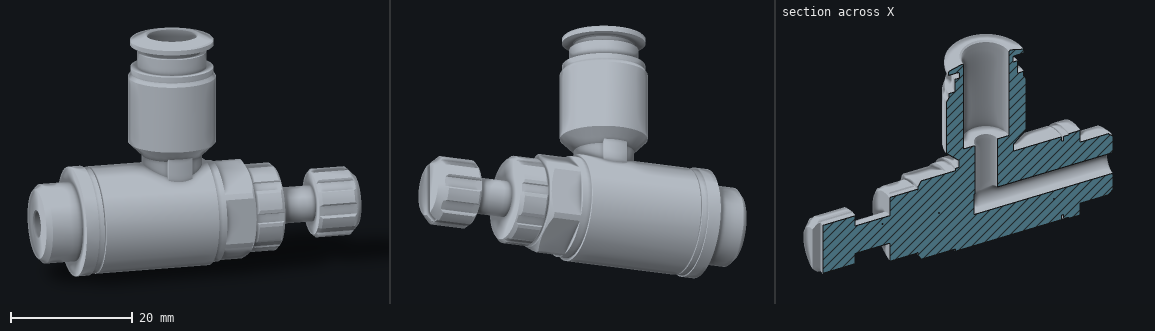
import cadquery as cq
import math


LENGTH = 54.4
THREAD_DIA = 13.15
THREAD_CHAMFER = 0.85
FLANGE_DIA = 18.15
FLANGE_START = 6.0
RIM_DIA = 17.7
RIM_START = 8.1
GROOVE_DIA = 15.9
GROOVE_START = 9.15
BODY_DIA = 17.8
BODY_START = 9.4
COLLAR_DIA = 16.8
COLLAR_START = 28.7

HEX_ACROSS_FLATS = 15.0
HEX_CORNER_DIA = COLLAR_DIA
HEX_START = 30.25
HEX_END = 35.6
HEX_FACE_DIA = 14.7
HEX_CHAMFER_ANGLE = 30.0

NUT_DIA = 14.5
NUT_CHAMFER = 0.6
NUT_END = 40.7
NUT_FLOOR_DIA = 13.7
NUT_GROOVE_FLOOR_WIDTH = 1.4
NUT_GROOVE_MOUTH_WIDTH = 2.9

STEM_DIA = 6.0

KNOB_DIA = 11.35
KNOB_START = 46.95
KNOB_REAR_CHAMFER = 0.5
KNOB_FRONT_CHAMFER = 1.4
KNOB_FLOOR_DIA = 10.35
KNOB_GROOVE_FLOOR_WIDTH = 1.65
KNOB_GROOVE_MOUTH_WIDTH = 2.4

GRIP_GROOVES = 8
GROOVE_WALL_RISE = 0.2
GROOVE_WALL_SPREAD = 0.15
CUT_MARGIN = 0.55
SLOT_WIDTH = 1.4
SLOT_DEPTH = 1.45

PORT_Y = 23.1
PORT_NECK_DIA = 10.0
PORT_CONE_BOTTOM = 10.3
PORT_BODY_DIA = 14.5
PORT_BODY_BOTTOM = 12.5
PORT_BODY_TOP = 23.6
PORT_SHOULDER_DIA = 13.7
PORT_SHOULDER_BOTTOM = 24.25
PORT_SHOULDER_TOP = 25.25
SLEEVE_DIA = 11.4
SLEEVE_TOP = 27.9
SLEEVE_NECK_DIA = 9.8
SLEEVE_FLARE = 0.2
RELEASE_RING_DIA = 13.8
RELEASE_RING_BOTTOM = 29.05
RELEASE_RING_EDGE = 0.2
RELEASE_RING_SHOULDER = 30.05
PORT_TOP = 30.7
LUG_DIA = 11.1
LUG_WIDTH = 4.15

SOCKET_DIA = 8.2
SOCKET_MOUTH_CHAMFER = 0.25
SOCKET_FLOOR = PORT_BODY_BOTTOM
PORT_HOLE_DIA = 4.0
BORE_DIA = 4.3
BORE_MOUTH_CHAMFER = 0.2
BORE_DEPTH = PORT_Y + BORE_DIA / 2


def rod(diameter, start, end):
    """Cylinder along Y between two stations."""
    plane = cq.Workplane("XZ", origin=(0, start, 0))
    return plane.circle(diameter / 2).extrude(start - end)


def upright(diameter, bottom, top):
    """Cylinder along Z on the tube port axis."""
    plane = cq.Workplane("XY", origin=(0, PORT_Y, bottom))
    return plane.circle(diameter / 2).extrude(top - bottom)


def make_body():
    """Turned threaded end, flange and body, up to the hexagon."""
    thread_radius = THREAD_DIA / 2
    outline = (
        cq.Workplane("XY")
        .moveTo(0, 0)
        .lineTo(thread_radius - THREAD_CHAMFER, 0)
        .lineTo(thread_radius, THREAD_CHAMFER)
        .lineTo(thread_radius, FLANGE_START)
        .lineTo(FLANGE_DIA / 2, FLANGE_START)
        .lineTo(FLANGE_DIA / 2, RIM_START)
        .lineTo(RIM_DIA / 2, RIM_START)
        .lineTo(RIM_DIA / 2, GROOVE_START)
        .lineTo(GROOVE_DIA / 2, GROOVE_START)
        .lineTo(GROOVE_DIA / 2, BODY_START)
        .lineTo(BODY_DIA / 2, BODY_START)
        .lineTo(BODY_DIA / 2, COLLAR_START)
        .lineTo(COLLAR_DIA / 2, COLLAR_START)
        .lineTo(COLLAR_DIA / 2, HEX_START)
        .lineTo(0, HEX_START)
        .close()
    )
    return outline.revolve(360, (0, 0, 0), (0, 1, 0))


def make_hexagon():
    """Hexagon with flats facing +X and -X, turned corners and a chamfered end."""
    corner_radius = HEX_CORNER_DIA / 2
    face_radius = HEX_FACE_DIA / 2
    chamfer_length = (corner_radius - face_radius) * math.tan(math.radians(HEX_CHAMFER_ANGLE))
    turned = (
        cq.Workplane("XY")
        .moveTo(0, HEX_START)
        .lineTo(corner_radius, HEX_START)
        .lineTo(corner_radius, HEX_END - chamfer_length)
        .lineTo(face_radius, HEX_END)
        .lineTo(0, HEX_END)
        .close()
        .revolve(360, (0, 0, 0), (0, 1, 0))
    )
    across_corners = HEX_ACROSS_FLATS / math.cos(math.radians(30))
    prism = (
        cq.Workplane("XZ", origin=(0, HEX_START, 0))
        .transformed(rotate=(0, 0, 30))
        .polygon(6, across_corners)
        .extrude(HEX_START - HEX_END)
    )
    return turned.intersect(prism)


def cut_grip_grooves(blank, diameter, floor_dia, floor_width, mouth_width, start, end):
    """Cut evenly spaced grooves, each with steep lower walls that open into wide bevels."""
    floor_radius = floor_dia / 2
    wall_radius = floor_radius + GROOVE_WALL_RISE
    mouth_radius = math.sqrt((diameter / 2) ** 2 - (mouth_width / 2) ** 2)
    floor_half = floor_width / 2
    wall_half = floor_half + GROOVE_WALL_SPREAD
    bevel_slope = (mouth_width / 2 - wall_half) / (mouth_radius - wall_radius)
    outer_radius = diameter / 2 + CUT_MARGIN
    outer_half = wall_half + bevel_slope * (outer_radius - wall_radius)
    cutter = (
        cq.Workplane("XZ", origin=(0, start, 0))
        .polyline([
            (-floor_half, floor_radius),
            (floor_half, floor_radius),
            (wall_half, wall_radius),
            (outer_half, outer_radius),
            (-outer_half, outer_radius),
            (-wall_half, wall_radius),
        ])
        .close()
        .extrude(start - end)
    )
    for index in range(GRIP_GROOVES):
        angle = index * 360 / GRIP_GROOVES
        blank = blank.cut(cutter.rotate((0, 0, 0), (0, 1, 0), angle))
    return blank


def make_lock_nut():
    """Lock nut chamfered at both ends, with gripping grooves."""
    blank = rod(NUT_DIA, HEX_END, NUT_END).edges().chamfer(NUT_CHAMFER)
    return cut_grip_grooves(
        blank, NUT_DIA, NUT_FLOOR_DIA, NUT_GROOVE_FLOOR_WIDTH, NUT_GROOVE_MOUTH_WIDTH, HEX_END, NUT_END
    )


def make_knob():
    """Adjusting knob with gripping grooves and a screwdriver slot along Z."""
    blank = rod(KNOB_DIA, KNOB_START, LENGTH)
    blank = blank.faces("<Y").chamfer(KNOB_REAR_CHAMFER)
    blank = blank.faces(">Y").chamfer(KNOB_FRONT_CHAMFER)
    grooved = cut_grip_grooves(
        blank, KNOB_DIA, KNOB_FLOOR_DIA, KNOB_GROOVE_FLOOR_WIDTH, KNOB_GROOVE_MOUTH_WIDTH, KNOB_START, LENGTH
    )
    slot = cq.Workplane("XY").box(SLOT_WIDTH, 2 * SLOT_DEPTH, KNOB_DIA)
    return grooved.cut(slot.translate((0, LENGTH, 0)))


def make_port():
    """Turned tube port with its release ring, plus two lugs on the neck."""
    sleeve_neck_radius = SLEEVE_NECK_DIA / 2
    ring_radius = RELEASE_RING_DIA / 2
    crown_radius = SOCKET_DIA / 2 + SOCKET_MOUTH_CHAMFER
    outline = (
        cq.Workplane("XZ", origin=(0, PORT_Y, 0))
        .moveTo(0, 0)
        .lineTo(PORT_NECK_DIA / 2, 0)
        .lineTo(PORT_NECK_DIA / 2, PORT_CONE_BOTTOM)
        .lineTo(PORT_BODY_DIA / 2, PORT_BODY_BOTTOM)
        .lineTo(PORT_BODY_DIA / 2, PORT_BODY_TOP)
        .lineTo(PORT_SHOULDER_DIA / 2, PORT_SHOULDER_BOTTOM)
        .lineTo(PORT_SHOULDER_DIA / 2, PORT_SHOULDER_TOP)
        .lineTo(SLEEVE_DIA / 2, PORT_SHOULDER_TOP)
        .lineTo(SLEEVE_DIA / 2, SLEEVE_TOP)
        .lineTo(sleeve_neck_radius, SLEEVE_TOP)
        .lineTo(sleeve_neck_radius, RELEASE_RING_BOTTOM - SLEEVE_FLARE)
        .lineTo(sleeve_neck_radius + SLEEVE_FLARE, RELEASE_RING_BOTTOM)
        .lineTo(ring_radius, RELEASE_RING_BOTTOM)
        .lineTo(ring_radius, RELEASE_RING_SHOULDER - RELEASE_RING_EDGE)
        .lineTo(ring_radius - RELEASE_RING_EDGE, RELEASE_RING_SHOULDER)
        .lineTo(crown_radius, PORT_TOP)
        .lineTo(0, PORT_TOP)
        .close()
    )
    port = outline.revolve(360, (0, 0, 0), (0, 1, 0))
    lug_band = cq.Workplane("XY", origin=(0, PORT_Y, PORT_BODY_BOTTOM / 2)).box(
        LUG_DIA, LUG_WIDTH, PORT_BODY_BOTTOM
    )
    lugs = upright(LUG_DIA, 0, PORT_BODY_BOTTOM).intersect(lug_band)
    return port.union(lugs)


def cut_passages(part):
    """Tube socket and hole from above, meeting the bore from the threaded end."""
    socket = upright(SOCKET_DIA, SOCKET_FLOOR, PORT_TOP)
    socket_mouth = cq.Workplane(
        cq.Solid.makeCone(
            SOCKET_DIA / 2,
            SOCKET_DIA / 2 + SOCKET_MOUTH_CHAMFER,
            SOCKET_MOUTH_CHAMFER,
            cq.Vector(0, PORT_Y, PORT_TOP - SOCKET_MOUTH_CHAMFER),
        )
    )
    port_hole = upright(PORT_HOLE_DIA, 0, SOCKET_FLOOR)
    bore = rod(BORE_DIA, 0, BORE_DEPTH)
    bore_mouth = cq.Workplane(
        cq.Solid.makeCone(
            BORE_DIA / 2 + BORE_MOUTH_CHAMFER,
            BORE_DIA / 2,
            BORE_MOUTH_CHAMFER,
            cq.Vector(0, 0, 0),
            cq.Vector(0, 1, 0),
        )
    )
    for passage in (socket, socket_mouth, port_hole, bore, bore_mouth):
        part = part.cut(passage)
    return part


stem = rod(STEM_DIA, NUT_END, KNOB_START)
solid = make_body()
for piece in (make_hexagon(), make_lock_nut(), stem, make_knob(), make_port()):
    solid = solid.union(piece)
result = cut_passages(solid)